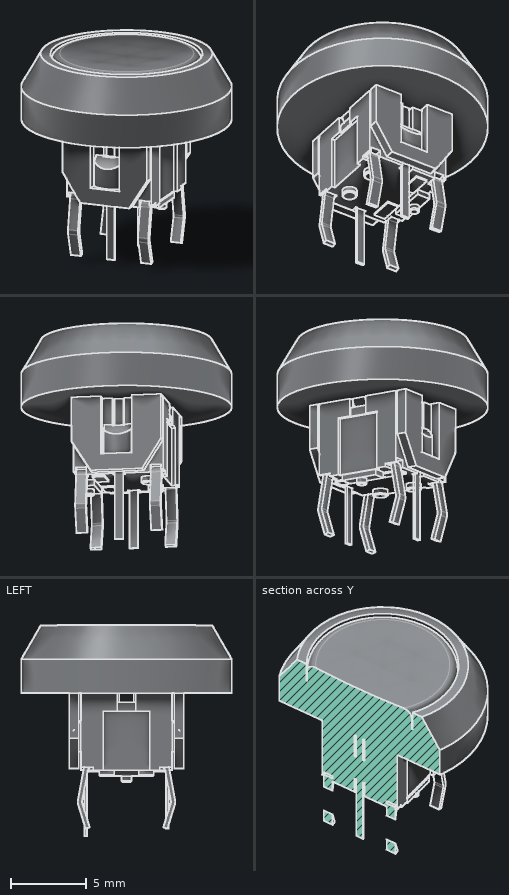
import cadquery as cq
import math

OVERALL_HEIGHT = 14.04

CAP_DIAMETER = 14.0
CAP_TOP_DIAMETER = 11.4
CAP_BOTTOM_Z = 5.1
CAP_EDGE_Z = 7.35
CAP_TOP_Z = 9.6
BORE_DIAMETER = 10.1
BUTTON_DIAMETER = 10.0
BUTTON_TOP_Z = 9.64
BUTTON_GAP_DEPTH = 1.5
DISH_DIAMETER = 8.9
DISH_DEPTH = 0.22

BODY_SIZE = 6.05
BODY_HALF = BODY_SIZE / 2

RECESS_WIDTH = 3.07
RECESS_HEIGHT = 3.9
RECESS_DEPTH = 0.25
CHANNEL_WIDTH = 1.26
CHANNEL_DEPTH = 0.12
LATCH_Z = 4.5
LATCH_WIDTH = 0.98
LATCH_POCKET_DEPTH = 0.4

PLATE_THICKNESS = 0.65
PLATE_GAP = 0.14
PLATE_INNER_Y = BODY_HALF + PLATE_GAP
PLATE_OUTER_Y = PLATE_INNER_Y + PLATE_THICKNESS
PLATE_BOTTOM_Z = 0.1
PLATE_CHAMFER_Z = 2.1
PLATE_BOTTOM_WIDTH = 3.5
WINDOW_WIDTH = 2.08
WINDOW_BOTTOM_Z = 1.2

CATCH_DIAMETER = 3.7
CATCH_WIDTH = 1.87
CATCH_PROJECTION = 0.54
CATCH_TOP_Z = 3.31
CATCH_FRONT_Z = 2.55

PIN_WIDTH = 0.56
PIN_THICKNESS = 0.17
PIN_OUTER_Y = 2.79
PIN_INNER_Y = PIN_OUTER_Y - PIN_THICKNESS
PIN_FRONT_BOTTOM_Z = -3.9
PIN_REAR_BOTTOM_Z = BUTTON_TOP_Z - OVERALL_HEIGHT
SLOT_WIDTH = 0.78
SLOT_FLOOR_Z = 3.25

LEG_WIDTH = 0.72
LEG_CENTER_X = 2.52
LEG_THICKNESS = 0.3
LEG_TOP_Z = 0.5
LEG_ROOT_Y = 2.0
LEG_SHOULDER_Y = 2.77
LEG_KNEE_Y = 3.26
LEG_KNEE_Z = -2.15
LEG_TIP_Y = 2.72
LEG_TIP_Z = -3.9
LEG_SHOULDER_RADIUS = 0.55
LEG_KNEE_RADIUS = 0.65
NOTCH_INNER_Y = 2.21
NOTCH_HEIGHT = 0.2

BOSS_DIAMETER = 1.0
BOSS_X = -1.75
BOSS_Y = 1.32
BOSS_HEIGHT = 0.4
BOSS_CHAMFER = 0.08
BLOCK_MIN_X = 1.92
BLOCK_MAX_X = 2.87
BLOCK_LENGTH = 2 * BOSS_Y
PEG_DIAMETER = 0.67
PEG_HEIGHT = 0.4
STRIP_MIN_X = 1.02
STRIP_MAX_X = 1.85
STRIP_INNER_Y = 0.9
STRIP_OUTER_Y = 2.55
STRIP_HEIGHT = 0.1


def box(x_min, x_max, y_min, y_max, z_min, z_max):
    size = (x_max - x_min, y_max - y_min, z_max - z_min)
    return cq.Workplane("XY").box(*size, centered=False).translate((x_min, y_min, z_min))


def wide_box(width, y_min, y_max, z_min, z_max):
    """Box centred on X = 0."""
    return box(-width / 2, width / 2, y_min, y_max, z_min, z_max)


def both_y(part):
    """The part together with its mirror image across the XZ plane."""
    return part.union(part.mirror("XZ"))


def both_x(part):
    """The part together with its mirror image across the YZ plane."""
    return part.union(part.mirror("YZ"))


def make_cap():
    """Cap ring with the round push button in its bore and a shallow dish in the button top."""
    bore = BORE_DIAMETER / 2
    button = BUTTON_DIAMETER / 2
    dish = DISH_DIAMETER / 2
    rounding = button - dish
    gap_z = CAP_TOP_Z - BUTTON_GAP_DEPTH
    shoulder_z = BUTTON_TOP_Z - rounding
    diagonal = rounding * math.sqrt(0.5)
    dish_radius = (dish**2 + DISH_DEPTH**2) / (2 * DISH_DEPTH)
    section = (
        cq.Workplane("XZ")
        .moveTo(0, CAP_BOTTOM_Z)
        .lineTo(CAP_DIAMETER / 2, CAP_BOTTOM_Z)
        .lineTo(CAP_DIAMETER / 2, CAP_EDGE_Z)
        .lineTo(CAP_TOP_DIAMETER / 2, CAP_TOP_Z)
        .lineTo(bore, CAP_TOP_Z)
        .lineTo(bore, gap_z)
        .lineTo(button, gap_z)
        .lineTo(button, shoulder_z)
        .threePointArc((dish + diagonal, shoulder_z + diagonal), (dish, BUTTON_TOP_Z))
        .lineTo(0, BUTTON_TOP_Z)
        .close()
    )
    dish_center_z = BUTTON_TOP_Z - DISH_DEPTH + dish_radius
    dish_ball = cq.Workplane("XZ").sphere(dish_radius).translate((0, 0, dish_center_z))
    return section.revolve(360, (0, 0, 0), (0, 1, 0)).cut(dish_ball)


def make_side_recess():
    """Volume removed from the +X side of the body; a sloping latch stands in its top pocket."""
    x_out = BODY_HALF
    recess = box(
        x_out - RECESS_DEPTH, x_out, -RECESS_WIDTH / 2, RECESS_WIDTH / 2, 0, RECESS_HEIGHT
    )
    channel_x = x_out - CHANNEL_DEPTH
    channel_y = CHANNEL_WIDTH / 2
    channel = box(channel_x, x_out, -channel_y, channel_y, RECESS_HEIGHT, CAP_BOTTOM_Z)
    pocket_x = x_out - LATCH_POCKET_DEPTH
    pocket = box(pocket_x, x_out, -channel_y, channel_y, LATCH_Z, CAP_BOTTOM_Z)
    latch = (
        cq.Workplane("XZ")
        .moveTo(pocket_x, LATCH_Z)
        .lineTo(channel_x, CAP_BOTTOM_Z)
        .lineTo(pocket_x, CAP_BOTTOM_Z)
        .close()
        .extrude(LATCH_WIDTH / 2, both=True)
    )
    return recess.union(channel).union(pocket.cut(latch))


def make_catch():
    """Rounded catch with a sloping top, on the +Y face of the body."""
    front_y = BODY_HALF + CATCH_PROJECTION
    round_face = (
        cq.Workplane("XY", origin=(0, front_y - CATCH_DIAMETER / 2, WINDOW_BOTTOM_Z))
        .circle(CATCH_DIAMETER / 2)
        .extrude(CATCH_TOP_Z - WINDOW_BOTTOM_Z)
    )
    slope = (
        cq.Workplane("YZ")
        .moveTo(PIN_INNER_Y, WINDOW_BOTTOM_Z)
        .lineTo(front_y, WINDOW_BOTTOM_Z)
        .lineTo(front_y, CATCH_FRONT_Z)
        .lineTo(BODY_HALF, CATCH_TOP_Z)
        .lineTo(PIN_INNER_Y, CATCH_TOP_Z)
        .close()
        .extrude(CATCH_WIDTH / 2, both=True)
    )
    return round_face.intersect(slope)


def make_corner_notch():
    """Volume removed from the +X +Y bottom corner to seat a leg."""
    leg_inner_x = LEG_CENTER_X - LEG_WIDTH / 2
    leg_outer_x = LEG_CENTER_X + LEG_WIDTH / 2
    leg_pocket = box(leg_inner_x, leg_outer_x, NOTCH_INNER_Y, BODY_HALF, 0, LEG_TOP_Z)
    side_notch = box(leg_inner_x, BODY_HALF, NOTCH_INNER_Y, BODY_HALF, 0, NOTCH_HEIGHT)
    return leg_pocket.union(side_notch)


def make_body():
    body = wide_box(BODY_SIZE, -BODY_HALF, BODY_HALF, 0, CAP_BOTTOM_Z)
    body = body.cut(both_x(make_side_recess()))
    body = body.cut(both_x(both_y(make_corner_notch())))
    body = body.union(both_y(make_catch()))
    slot_outer_y = BODY_HALF + CATCH_PROJECTION
    upper_slot = wide_box(SLOT_WIDTH, PIN_INNER_Y, slot_outer_y, SLOT_FLOOR_Z, CAP_BOTTOM_Z)
    lower_slot = wide_box(SLOT_WIDTH, PIN_INNER_Y, slot_outer_y, 0, WINDOW_BOTTOM_Z)
    return body.cut(both_y(upper_slot.union(lower_slot)))


def make_plate():
    """Side plate next to the +Y face, with tapered lower corners and an open window."""
    plate = (
        cq.Workplane("XZ", origin=(0, PLATE_OUTER_Y, 0))
        .moveTo(-BODY_HALF, CAP_BOTTOM_Z)
        .lineTo(-BODY_HALF, PLATE_CHAMFER_Z)
        .lineTo(-PLATE_BOTTOM_WIDTH / 2, PLATE_BOTTOM_Z)
        .lineTo(PLATE_BOTTOM_WIDTH / 2, PLATE_BOTTOM_Z)
        .lineTo(BODY_HALF, PLATE_CHAMFER_Z)
        .lineTo(BODY_HALF, CAP_BOTTOM_Z)
        .close()
        .extrude(PLATE_THICKNESS)
    )
    window = wide_box(WINDOW_WIDTH, PLATE_INNER_Y, PLATE_OUTER_Y, WINDOW_BOTTOM_Z, CAP_BOTTOM_Z)
    return plate.cut(window)


def make_pins():
    front = wide_box(PIN_WIDTH, -PIN_OUTER_Y, -PIN_INNER_Y, PIN_FRONT_BOTTOM_Z, CAP_BOTTOM_Z)
    rear = wide_box(PIN_WIDTH, PIN_INNER_Y, PIN_OUTER_Y, PIN_REAR_BOTTOM_Z, CAP_BOTTOM_Z)
    return front.union(rear)


def make_leg():
    """Bent strip in the +X +Y corner: a flat root, a shoulder, a knee and an inward tip."""
    upper_angle = math.atan2(LEG_KNEE_Y - LEG_SHOULDER_Y, LEG_TOP_Z - LEG_KNEE_Z)
    lower_angle = math.atan2(LEG_KNEE_Y - LEG_TIP_Y, LEG_KNEE_Z - LEG_TIP_Z)

    inner_top_z = LEG_TOP_Z - LEG_THICKNESS
    shoulder_shift = LEG_THICKNESS * (math.tan(upper_angle) - 1 / math.cos(upper_angle))
    half_bend = (upper_angle + lower_angle) / 2
    bisector_tilt = (lower_angle - upper_angle) / 2
    knee_offset = LEG_THICKNESS / math.cos(half_bend)
    knee_inner_y = LEG_KNEE_Y - knee_offset * math.cos(bisector_tilt)
    knee_inner_z = LEG_KNEE_Z + knee_offset * math.sin(bisector_tilt)
    tip_inner_y = LEG_TIP_Y - LEG_THICKNESS * math.cos(lower_angle)
    tip_inner_z = LEG_TIP_Z + LEG_THICKNESS * math.sin(lower_angle)

    shoulder_outer = (LEG_SHOULDER_Y, LEG_TOP_Z)
    shoulder_inner = (LEG_SHOULDER_Y + shoulder_shift, inner_top_z)
    knee_outer = (LEG_KNEE_Y, LEG_KNEE_Z)
    knee_inner = (knee_inner_y, knee_inner_z)
    outline = [
        (LEG_ROOT_Y, LEG_TOP_Z),
        shoulder_outer,
        knee_outer,
        (LEG_TIP_Y, LEG_TIP_Z),
        (tip_inner_y, tip_inner_z),
        knee_inner,
        shoulder_inner,
        (LEG_ROOT_Y, inner_top_z),
    ]
    leg = cq.Workplane("YZ").polyline(outline).close().extrude(LEG_WIDTH / 2, both=True)
    bends = [
        (shoulder_outer, LEG_SHOULDER_RADIUS),
        (shoulder_inner, LEG_SHOULDER_RADIUS - LEG_THICKNESS),
        (knee_outer, LEG_KNEE_RADIUS),
        (knee_inner, LEG_KNEE_RADIUS - LEG_THICKNESS),
    ]
    for (y, z), radius in bends:
        leg = leg.edges(cq.selectors.NearestToPointSelector((0, y, z))).fillet(radius)
    return leg.translate((LEG_CENTER_X, 0, 0))


def make_underside():
    bosses = (
        cq.Workplane("XY")
        .pushPoints([(BOSS_X, -BOSS_Y), (BOSS_X, BOSS_Y)])
        .circle(BOSS_DIAMETER / 2)
        .extrude(-BOSS_HEIGHT)
        .faces("<Z")
        .chamfer(BOSS_CHAMFER)
    )
    block = box(BLOCK_MIN_X, BLOCK_MAX_X, -BLOCK_LENGTH / 2, BLOCK_LENGTH / 2, -BOSS_HEIGHT, 0)
    peg = (
        cq.Workplane("XY", origin=(LEG_CENTER_X, 0, -BOSS_HEIGHT))
        .circle(PEG_DIAMETER / 2)
        .extrude(-PEG_HEIGHT)
        .faces("<Z")
        .chamfer(BOSS_CHAMFER)
    )
    strips = both_y(box(STRIP_MIN_X, STRIP_MAX_X, STRIP_INNER_Y, STRIP_OUTER_Y, -STRIP_HEIGHT, 0))
    return bosses.union(block).union(peg).union(strips)


result = (
    make_cap()
    .union(make_body())
    .union(both_y(make_plate()))
    .union(make_pins())
    .union(both_x(both_y(make_leg())))
    .union(make_underside())
)